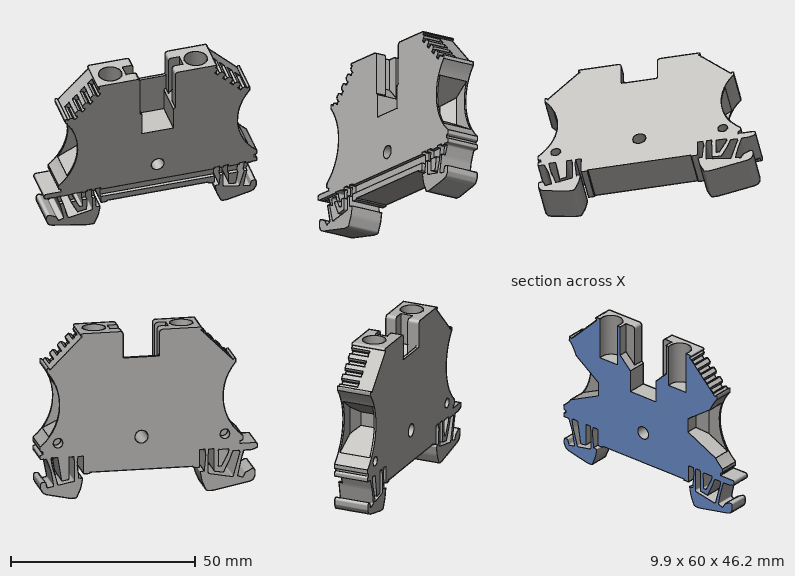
import cadquery as cq
import math


THICKNESS = 9.9
HEIGHT = 46.25
FOOT_END = 27.95
TAB_END = 60 - FOOT_END

SHOULDER_HALF = 16.8
SHOULDER_LIP = 0.55
SLOPE_TOP = (16.4, 45.5)
SLOPE_RUN = 8.9
SLOPE_BOTTOM = (SLOPE_TOP[0] + SLOPE_RUN, SLOPE_TOP[1] - SLOPE_RUN)
HORN_REACH = 26.05
HORN_INNER = 25.6
HORN_TOP = 37.0
HORN_BASE = 35.9
WAIST_HALF = 22.55
WAIST_HEIGHT = 26.4
WAIST_RADIUS = 14.7
NECK_REACH = 27.25
UNDERSIDE = 11.75
BLOCK_HALF = 16.0
BLOCK_BOTTOM = 7.1
PAD_BOTTOM = 6.7
PAD_INNER = 14.4
PAD_RAMP = 0.25
TAB_TOP = 12.85
FOOT_ROOT = 13.2

NOTCH_HALF = 5.0
NOTCH_FLOOR = 38.75
NOTCH_TOP_RADIUS = 0.9
NOTCH_FLOOR_RADIUS = 0.3
NOTCH_WALL = 0.85
WELL_HALF = 4.45
WELL_FLOOR = 27.6
WELL_LIP = 34.5
KEYWAY_START = 3.35
KEYWAY_WIDTH = 3.5
KEYWAY_HALF = 8.05

SCREW_OFFSET = 12.05
SCREW_X = 5.4
SCREW_DIAMETER = 6.3
SCREW_DEPTH = 12.0

GROOVE_COUNT = 4
GROOVE_FIRST_TOP = 44.95
GROOVE_PITCH = 2.15
GROOVE_HEIGHT = 1.25
GROOVE_DEPTH = 1.45
GROOVE_TAPER_DEPTH = 0.65
GROOVE_TAPER = 0.35
GROOVE_START = 4.5

FUNNEL_BACK = 15.8
FUNNEL_BEND = 18.9
FUNNEL_OUTER = 30.0
FUNNEL_SIDES = (0.55, 9.4)
FUNNEL_BACK_SIDES = (3.8, 7.7)
FUNNEL_BACK_HEIGHTS = (22.25, 26.2)
FUNNEL_FLOOR_SLOPE = 0.48
FUNNEL_ROOF_SLOPE = 0.72

CENTRE_HOLE_HEIGHT = 16.3
CENTRE_HOLE_DIAMETER = 3.6
PIN_OFFSET = 23.05
PIN_HEIGHT = 15.8
PIN_DIAMETER = 2.65
PIN_DEPTH = 3.0
CHANNEL_BOTTOM = 8.75
CHANNEL_TOP = 11.3
CHANNEL_DEPTH = 1.1

MARGIN = 3.0


def rounded_outline(corners):
    """Closed wire in the YZ plane through the corners, each rounded by its own radius."""
    count = len(corners)
    stretches = []
    for i, (y, z, radius) in enumerate(corners):
        corner = cq.Vector(y, z, 0)
        before = (cq.Vector(*corners[i - 1][:2], 0) - corner).normalized()
        after = (cq.Vector(*corners[(i + 1) % count][:2], 0) - corner).normalized()
        if radius == 0:
            stretches.append([corner])
            continue
        half_angle = before.getAngle(after) / 2
        setback = radius / math.tan(half_angle)
        bisector = (before + after).normalized()
        middle = corner + bisector * (radius / math.sin(half_angle) - radius)
        stretches.append([corner + before * setback, middle, corner + after * setback])

    first = stretches[0][0]
    sketch = cq.Workplane("YZ").moveTo(first.x, first.y)
    for i, stretch in enumerate(stretches):
        if i > 0:
            sketch = sketch.lineTo(stretch[0].x, stretch[0].y)
        if len(stretch) == 3:
            sketch = sketch.threePointArc((stretch[1].x, stretch[1].y), (stretch[2].x, stretch[2].y))
    return sketch.close()


def plate(corners, start=0.0, end=THICKNESS):
    """Outline extruded across the thickness from start to end."""
    return rounded_outline(corners).extrude(end - start).translate((start, 0, 0))


def sharp(points):
    """Corners without rounding."""
    return [(y, z, 0) for y, z in points]


def flipped(solid):
    """Mirror image on the other side of the block centre."""
    return solid.mirror("XZ")


def both_sides(solid):
    return solid.union(flipped(solid))


def cross_hole(y, z, diameter, depth):
    return cq.Workplane("YZ").center(y, z).circle(diameter / 2).extrude(depth)


def make_body():
    half = [
        (0, NOTCH_FLOOR, 0),
        (NOTCH_HALF, NOTCH_FLOOR, NOTCH_FLOOR_RADIUS),
        (NOTCH_HALF, HEIGHT, NOTCH_TOP_RADIUS),
        (SHOULDER_HALF, HEIGHT, 0.5),
        (SHOULDER_HALF, HEIGHT - SHOULDER_LIP, 0),
        (*SLOPE_TOP, 0),
        (*SLOPE_BOTTOM, 0),
        (HORN_INNER, HORN_TOP, 0.1),
        (HORN_REACH, HORN_TOP, 0.3),
        (HORN_REACH, HORN_BASE, 0),
        (FOOT_END, 14.95, 0),
        (FOOT_END, 13.85, 0.25),
        (NECK_REACH, 13.5, 0),
        (NECK_REACH, UNDERSIDE, 0),
        (BLOCK_HALF, UNDERSIDE, 0.25),
        (BLOCK_HALF, PAD_BOTTOM, 0.25),
        (PAD_INNER, PAD_BOTTOM, 0),
        (PAD_INNER - PAD_RAMP, BLOCK_BOTTOM, 0),
        (0, BLOCK_BOTTOM, 0),
    ]
    waist = cross_hole(WAIST_HALF + WAIST_RADIUS, WAIST_HEIGHT, 2 * WAIST_RADIUS, THICKNESS)
    return both_sides(plate(half).cut(waist))


INNER_LEG = [
    (17.95, 0, 0.7),
    (16.75, 2.75, 4.8),
    (16.2, 5.45, 0.1),
    (17.35, 5.65, 0),
    (17.75, 10.2, 3),
    (17.5, UNDERSIDE, 0),
    (17.5, FOOT_ROOT, 0),
]


def make_plain_foot():
    outline = INNER_LEG + [
        (NECK_REACH, FOOT_ROOT, 0),
        (NECK_REACH, 12.9, 0),
        (FOOT_END, 12.55, 0.2),
        (FOOT_END, 11.45, 0.25),
        (26.2, 11.45, 0.6),
        (25.0, 8.2, 6),
        (24.2, 3.7, 0.3),
        (26.0, 3.35, 0.1),
        (26.45, 5.0, 0.5),
        (27.85, 5.0, 0.65),
        (27.85, 3.1, 0.9),
        (27.1, 1.85, 0.9),
        (26.15, 1.45, 0.6),
        (19.55, 0, 0.9),
    ]
    gap = [
        (24.95, UNDERSIDE, 0.3),
        (23.1, UNDERSIDE, 0.3),
        (22.0, 5.05, 0.3),
        (20.05, 5.4, 0.35),
        (20.05, UNDERSIDE, 0.05),
        (18.65, UNDERSIDE, 0.25),
        (18.5, 10.2, 1.2),
        (18.5, 4.8, 0.5),
        (23.05, 3.95, 0.25),
        (24.55, 9.2, 6),
    ]
    return plate(outline), plate(gap)


def make_tab_foot():
    outline = INNER_LEG + [
        (NECK_REACH, FOOT_ROOT, 0),
        (NECK_REACH, TAB_TOP, 0),
        (TAB_END, TAB_TOP, 0.65),
        (TAB_END, 11.45, 0.6),
        (30.4, 10.85, 0.9),
        (28.25, 10.85, 0.35),
        (27.25, 7.3, 48),
        (26.5, 3.7, 0.3),
        (27.95, 3.25, 0.1),
        (28.7, 4.55, 0.35),
        (30.4, 5.5, 0.55),
        (31.3, 5.5, 0.6),
        (31.4, 3.6, 1.8),
        (30.8, 2.4, 1.2),
        (29.75, 2.0, 0.6),
        (19.75, 0, 0.9),
    ]
    gap = [
        (18.55, UNDERSIDE, 0.25),
        (20.0, UNDERSIDE, 0.25),
        (20.05, 5.4, 0.35),
        (22.6, 5.0, 0.2),
        (24.3, 8.4, 2.4),
        (25.2, 10.85, 0.35),
        (27.3, 10.85, 0.5),
        (25.25, 3.55, 0.35),
        (18.4, 4.85, 0.5),
        (18.4, 10.3, 1.2),
    ]
    window = [
        (21.2, 11.45, 0.3),
        (24.25, 11.45, 0.35),
        (23.9, 10.2, 1.8),
        (22.1, 6.7, 0.25),
        (21.25, 6.7, 0.1),
    ]
    return flipped(plate(outline)), flipped(plate(gap).union(plate(window)))


def make_well():
    """Well below the notch, open to +X, with a keyway up each notch side."""
    lip_drop = NOTCH_HALF - WELL_HALF
    well = [
        (0, NOTCH_FLOOR + NOTCH_FLOOR_RADIUS),
        (NOTCH_HALF, NOTCH_FLOOR + NOTCH_FLOOR_RADIUS),
        (NOTCH_HALF, WELL_LIP),
        (WELL_HALF, WELL_LIP - lip_drop),
        (WELL_HALF, WELL_FLOOR),
        (0, WELL_FLOOR),
    ]
    keyway = [
        (WELL_HALF, HEIGHT + MARGIN),
        (KEYWAY_HALF, HEIGHT + MARGIN),
        (KEYWAY_HALF, WELL_LIP + KEYWAY_HALF - NOTCH_HALF),
        (WELL_HALF, WELL_LIP - lip_drop),
    ]
    well_cut = plate(sharp(well), NOTCH_WALL, THICKNESS)
    keyway_cut = plate(sharp(keyway), KEYWAY_START, KEYWAY_START + KEYWAY_WIDTH)
    return both_sides(well_cut.union(keyway_cut))


def make_screw_holes():
    hole = (
        cq.Workplane("XY", origin=(SCREW_X, SCREW_OFFSET, HEIGHT))
        .circle(SCREW_DIAMETER / 2)
        .extrude(-SCREW_DEPTH)
    )
    return both_sides(hole)


def make_grip_grooves():
    """Grooves with a tapered mouth across the 45 degree shoulders, open to +X."""
    slope_sum = SLOPE_TOP[0] + SLOPE_TOP[1]
    half_width = GROOVE_HEIGHT / math.sqrt(2)
    half_floor = half_width - GROOVE_TAPER
    profile = [
        (-GROOVE_DEPTH, -half_floor),
        (-GROOVE_TAPER_DEPTH, -half_floor),
        (0, -half_width),
        (MARGIN / 2, -half_width),
        (MARGIN / 2, half_width),
        (0, half_width),
        (-GROOVE_TAPER_DEPTH, half_floor),
        (-GROOVE_DEPTH, half_floor),
    ]
    groove = plate(sharp(profile), GROOVE_START, THICKNESS).rotate((0, 0, 0), (1, 0, 0), 45)
    grooves = cq.Workplane("YZ")
    for i in range(GROOVE_COUNT):
        middle = GROOVE_FIRST_TOP - GROOVE_HEIGHT / 2 - i * GROOVE_PITCH
        grooves = grooves.union(groove.translate((0, slope_sum - middle, middle)))
    return both_sides(grooves)


def make_funnels():
    """Tapered wire entries: the side taper and the floor and roof taper intersected."""
    reach = FUNNEL_OUTER - FUNNEL_BACK
    floor, roof = FUNNEL_BACK_HEIGHTS
    heights = [
        (FUNNEL_BACK, floor),
        (FUNNEL_OUTER, floor - FUNNEL_FLOOR_SLOPE * reach),
        (FUNNEL_OUTER, roof + FUNNEL_ROOF_SLOPE * reach),
        (FUNNEL_BACK, roof),
    ]
    left, right = FUNNEL_SIDES
    back_left, back_right = FUNNEL_BACK_SIDES
    sides = [
        (back_left, FUNNEL_BACK),
        (left, FUNNEL_BEND),
        (left, FUNNEL_OUTER),
        (right, FUNNEL_OUTER),
        (right, FUNNEL_BEND),
        (back_right, FUNNEL_BACK),
    ]
    side_taper = cq.Workplane("XY").polyline(sides).close().extrude(HEIGHT)
    return both_sides(plate(sharp(heights)).intersect(side_taper))


def make_cross_holes():
    pin_hole = cross_hole(PIN_OFFSET, PIN_HEIGHT, PIN_DIAMETER, PIN_DEPTH)
    centre_hole = cross_hole(0, CENTRE_HOLE_HEIGHT, CENTRE_HOLE_DIAMETER, THICKNESS)
    return both_sides(pin_hole).union(centre_hole)


def make_side_channel():
    """Channel along the whole +X face."""
    channel = [
        (FOOT_END + MARGIN, CHANNEL_BOTTOM),
        (FOOT_END + MARGIN, CHANNEL_TOP),
        (-TAB_END - MARGIN, CHANNEL_TOP),
        (-TAB_END - MARGIN, CHANNEL_BOTTOM),
    ]
    return plate(sharp(channel), THICKNESS - CHANNEL_DEPTH, THICKNESS)


plain_foot, plain_foot_gap = make_plain_foot()
tab_foot, tab_foot_gaps = make_tab_foot()

result = make_body().union(plain_foot).union(tab_foot)
cutters = [
    plain_foot_gap,
    tab_foot_gaps,
    make_well(),
    make_screw_holes(),
    make_grip_grooves(),
    make_funnels(),
    make_cross_holes(),
    make_side_channel(),
]
for cutter in cutters:
    result = result.cut(cutter)